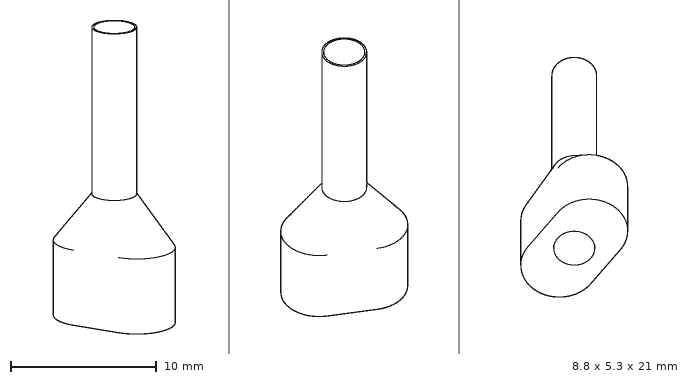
import cadquery as cq

total_height = 21.0
collar_length = 8.8
collar_width = 5.3
skirt_height = 5.42
taper_height = 3.6
tube_diameter = 3.09
bore_diameter = 2.81

collar_height = skirt_height + taper_height
tube_height = total_height - collar_height
collar_radius = collar_width / 2
tube_radius = tube_diameter / 2
bore_radius = bore_diameter / 2
arc_offset = (collar_length - collar_width) / 2


def end_arc(side, center_x, radius, z):
    """Half circle bulging towards side (+1 or -1) along X."""
    return cq.Edge.makeThreePointArc(
        cq.Vector(center_x, -radius, z),
        cq.Vector(center_x + side * radius, 0, z),
        cq.Vector(center_x, radius, z),
    )


def planar_face(edges):
    return cq.Face.makeFromWires(cq.Wire.assembleEdges(edges))


def flat_triangle(side):
    """Flat flank of the taper: a slot edge rising to one point on the tube circle."""
    slot_y = side * collar_radius
    corners = [
        cq.Vector(-arc_offset, slot_y, skirt_height),
        cq.Vector(arc_offset, slot_y, skirt_height),
        cq.Vector(0, side * tube_radius, collar_height),
    ]
    return cq.Face.makeFromWires(cq.Wire.makePolygon(corners, close=True))


def make_taper():
    """Two slanted half cones joined by two flat triangles."""
    lower_arcs = [end_arc(side, side * arc_offset, collar_radius, skirt_height) for side in (-1, 1)]
    upper_arcs = [end_arc(side, 0, tube_radius, collar_height) for side in (-1, 1)]
    slot_edges = [
        cq.Edge.makeLine(
            cq.Vector(-arc_offset, y, skirt_height),
            cq.Vector(arc_offset, y, skirt_height),
        )
        for y in (-collar_radius, collar_radius)
    ]
    left_arc, right_arc = lower_arcs
    front_edge, back_edge = slot_edges
    faces = [
        planar_face([left_arc, back_edge, right_arc, front_edge]),
        planar_face(upper_arcs),
    ]
    for lower, upper in zip(lower_arcs, upper_arcs):
        faces.append(cq.Face.makeRuledSurface(lower, upper))
    for side in (-1, 1):
        faces.append(flat_triangle(side))
    return cq.Solid.makeSolid(cq.Shell.makeShell(faces))


def make_collar():
    skirt = cq.Workplane("XY").slot2D(collar_length, collar_width).extrude(skirt_height)
    bore = cq.Workplane("XY").circle(bore_radius).extrude(collar_height)
    return skirt.union(cq.Workplane(make_taper())).cut(bore)


def make_tube():
    return (
        cq.Workplane("XY")
        .workplane(offset=collar_height)
        .circle(tube_radius)
        .circle(bore_radius)
        .extrude(tube_height)
    )


collar = make_collar()
tube = make_tube()
result = cq.Compound.makeCompound([collar.solids().val(), tube.val()])